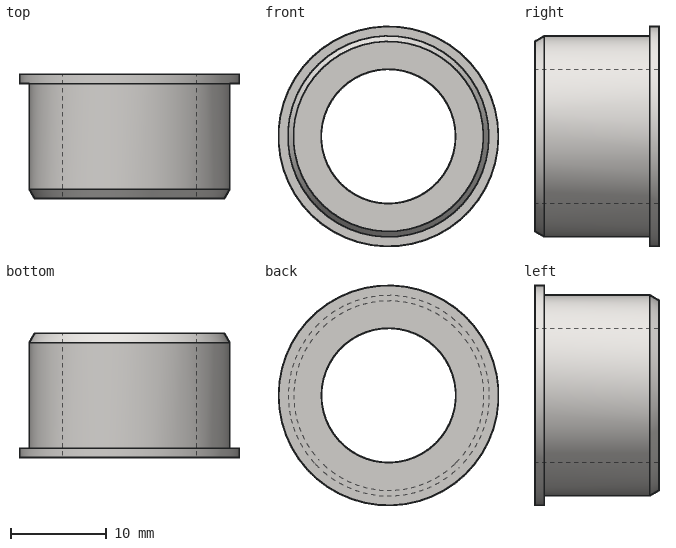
import cadquery as cq

flange_diameter = 23.0
flange_thickness = 1.0
body_diameter = 21.0
bore_diameter = 14.0
total_length = 13.0
chamfer_length = 1.0
chamfer_depth = 0.58

flange_radius = flange_diameter / 2
body_radius = body_diameter / 2
bore_radius = bore_diameter / 2
back_y = total_length / 2
front_y = -back_y

half_section = (
    cq.Workplane("XY")
    .moveTo(bore_radius, front_y)
    .lineTo(body_radius - chamfer_depth, front_y)
    .lineTo(body_radius, front_y + chamfer_length)
    .lineTo(body_radius, back_y - flange_thickness)
    .lineTo(flange_radius, back_y - flange_thickness)
    .lineTo(flange_radius, back_y)
    .lineTo(bore_radius, back_y)
    .close()
)

result = half_section.revolve(360, (0, 0, 0), (0, 1, 0))